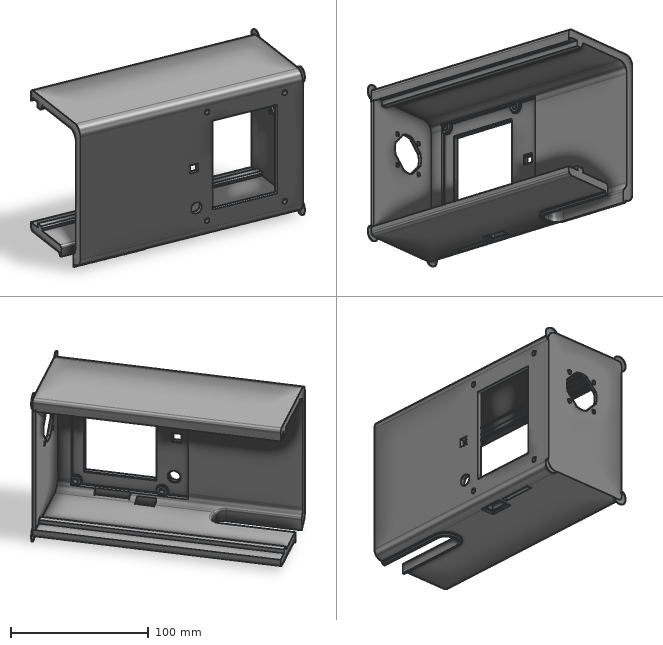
import cadquery as cq


width = 73.0
length = 186.6
height = 114.8
wall = 6.5
outer_radius = 7.5
inner_radius = 8.0
rim_radius = 3.0

lip_width = 2.5
lip_drop = 3.2

ridge_right = 16.5
roof_ridge_left = 9.5
roof_ridge_height = 4.3
roof_ridge_slope_width = 2.2
roof_ridge_slope_height = 3.2
floor_ridge_left = 10.0
floor_ridge_height = 3.2
floor_ridge_slope = 1.3

plate_thickness = 2.5
plate_inset = 0.4
fan_x = 40.0
fan_z = 75.5
fan_radius = 15.0
fan_flat_distance = 13.5
fan_screw_spacing = 24.0
fan_screw_diameter = 3.2

ear_radius = 6.0
ear_thickness = 0.4
ear_left_x = 2.2
ear_left_inset = 2.2
ear_right_inset = 3.4

mid_z = height / 2
inner_face_x = width - wall
recess_depth = 2.6
recess_front_y = 86.0
recess_back_y = 174.1
recess_height = 94.0
recess_chamfer = 0.5
recess_floor_x = inner_face_x + recess_depth

post_front_y = 106.2
post_back_y = 171.1
post_spacing_z = 88.3
post_height = 1.9
post_radius = 4.1
post_base_chamfer = 0.5
post_hole_diameter = 4.0

opening_chamfer = 0.5
window_front_y = 110.9
window_back_y = 164.8
window_bottom_z = 21.0
window_top_z = 93.3
window_corner_radius = 0.7
button_y = 95.4
button_z = 58.2
button_size = 6.5
knob_y = 97.2
knob_z = 25.8
knob_radius = 4.5

narrow_port_x = (61.5, 65.7)
narrow_port_y = (129.1, 155.6)
wide_port_x = (56.4, 64.0)
wide_port_y = (109.2, 124.0)
wide_port_corner_radius = 1.0
wide_port_relief_margin = 1.9
wide_port_relief_depth = 1.9

slot_left = 44.8
slot_right = 62.5
slot_end_y = 64.4
slot_corner_radius = 7.7
slot_rim_radius = 2.2
border = 2.8
border_drop = 2.5
border_chamfer = 1.3


def box(x_range, y_range, z_range):
    """Box between pairs of limits on the three axes."""
    return cq.Workplane("XY").box(
        x_range[1] - x_range[0],
        y_range[1] - y_range[0],
        z_range[1] - z_range[0],
        centered=False,
    ).translate((x_range[0], y_range[0], z_range[0]))


def extrude_along_y(profile, y_start, y_end):
    """Extrude a profile drawn in X and Z from y_start to y_end."""
    return profile.extrude(-(y_end - y_start)).translate((0, y_start, 0))


def make_shell():
    """C-shaped shell with rounded outer corners, inner corners and free edges."""
    outer = box((0, width), (0, length), (0, height))
    outer = outer.edges("|Y and >X").fillet(outer_radius)
    outer = outer.edges("|Y and <X").fillet(rim_radius)
    cavity = box((0, inner_face_x), (0, length), (wall, height - wall))
    cavity = cavity.edges("|Y and >X").fillet(inner_radius)
    return outer.cut(cavity)


def make_ridges():
    """Lip and guide ridge under the roof, and guide ridge on the floor."""
    roof = height - wall
    lip = cq.Workplane("XZ").polyline([(0, roof), (lip_width, roof), (0, roof - lip_drop)]).close()
    roof_ridge_bottom = roof - roof_ridge_height
    roof_ridge = cq.Workplane("XZ").polyline([
        (roof_ridge_left, roof),
        (roof_ridge_left, roof_ridge_bottom),
        (ridge_right - roof_ridge_slope_width, roof_ridge_bottom),
        (ridge_right, roof_ridge_bottom + roof_ridge_slope_height),
        (ridge_right, roof),
    ]).close()
    floor_ridge_top = wall + floor_ridge_height
    floor_ridge = cq.Workplane("XZ").polyline([
        (floor_ridge_left, wall),
        (floor_ridge_left, floor_ridge_top),
        (ridge_right - floor_ridge_slope, floor_ridge_top),
        (ridge_right, floor_ridge_top - floor_ridge_slope),
        (ridge_right, wall),
    ]).close()
    ridges = extrude_along_y(lip, 0, length)
    ridges = ridges.union(extrude_along_y(roof_ridge, 0, length))
    return ridges.union(extrude_along_y(floor_ridge, 0, length))


def make_back_plate():
    """Plate closing the back end, with the fan opening and its screw holes."""
    plate_front_y = length - plate_thickness
    plate = box(
        (plate_inset, width - wall / 2),
        (plate_front_y, length),
        (wall / 2, height - wall / 2),
    )
    flat_square = cq.Workplane("XZ").transformed(rotate=(0, 0, 45)).rect(
        2 * fan_flat_distance, 2 * fan_flat_distance
    )
    opening = extrude_along_y(cq.Workplane("XZ").circle(fan_radius), plate_front_y, length)
    opening = opening.intersect(extrude_along_y(flat_square, plate_front_y, length))
    screws = cq.Workplane("XZ").rect(
        fan_screw_spacing, fan_screw_spacing, forConstruction=True
    ).vertices().circle(fan_screw_diameter / 2)
    opening = opening.union(extrude_along_y(screws, plate_front_y, length))
    return plate.cut(opening.translate((fan_x, 0, fan_z)))


def make_ears():
    """Thin discs at the back corners, flush with the back face."""
    left = [(ear_left_x, z) for z in (ear_left_inset, height - ear_left_inset)]
    right = [(width - ear_right_inset, z) for z in (ear_right_inset, height - ear_right_inset)]
    ears = cq.Workplane("XZ").pushPoints(left + right).circle(ear_radius)
    return extrude_along_y(ears, length - ear_thickness, length)


def post_centres():
    """Y and Z of the four screw posts."""
    return [
        (y, mid_z + side * post_spacing_z / 2)
        for y in (post_front_y, post_back_y)
        for side in (-1, 1)
    ]


def make_recess():
    """Volume removed for the recess, leaving the screw posts standing."""
    recess = box(
        (inner_face_x - inner_radius, recess_floor_x),
        (recess_front_y, recess_back_y),
        (mid_z - recess_height / 2, mid_z + recess_height / 2),
    )
    recess = recess.faces(">X").edges().chamfer(recess_chamfer)
    base_radius = post_radius + post_base_chamfer
    post = cq.Workplane("XY").polyline([
        (0, 0),
        (base_radius, 0),
        (post_radius, post_base_chamfer),
        (post_radius, post_height),
        (0, post_height),
    ]).close().revolve(360, (0, 0), (0, 1))
    post = post.rotate((0, 0, 0), (0, 0, 1), 90)
    for y, z in post_centres():
        recess = recess.cut(post.translate((recess_floor_x, y, z)))
    return recess


def chamfered_opening(y, z, make_sketch):
    """Cutter outwards through the recess floor, with a chamfered mouth on the inside."""
    plane = cq.Workplane("YZ", origin=(recess_floor_x, y, z))
    through = plane.placeSketch(make_sketch(0)).extrude(width - recess_floor_x)
    mouth = plane.placeSketch(make_sketch(opening_chamfer)).extrude(opening_chamfer, taper=45)
    return through.union(mouth)


def make_wall_openings():
    """Display window, square button hole, round knob hole and post screw holes."""
    window_y = (window_front_y + window_back_y) / 2
    window_z = (window_bottom_z + window_top_z) / 2

    def window_sketch(growth):
        size_y = window_back_y - window_front_y + 2 * growth
        size_z = window_top_z - window_bottom_z + 2 * growth
        return cq.Sketch().rect(size_y, size_z).vertices().fillet(window_corner_radius + growth)

    def button_sketch(growth):
        size = button_size + 2 * growth
        return cq.Sketch().rect(size, size)

    def knob_sketch(growth):
        return cq.Sketch().circle(knob_radius + growth)

    screw_holes = (
        cq.Workplane("YZ", origin=(recess_floor_x - post_height, 0, 0))
        .pushPoints(post_centres())
        .circle(post_hole_diameter / 2)
        .extrude(width - recess_floor_x + post_height)
    )
    return (
        chamfered_opening(window_y, window_z, window_sketch)
        .union(chamfered_opening(button_y, button_z, button_sketch))
        .union(chamfered_opening(knob_y, knob_z, knob_sketch))
        .union(screw_holes)
    )


def slot_prism(offset, bottom_z, top_z):
    """Prism with the slot's U-shaped outline, grown by an offset and reaching past the front."""
    prism = box(
        (slot_left - offset, slot_right + offset),
        (-border, slot_end_y + offset),
        (bottom_z, top_z),
    )
    return prism.edges("|Z and >Y").fillet(slot_corner_radius + offset)


def make_border():
    """Raised border under the floor around the slot, chamfered along its lower edge."""
    raised = slot_prism(border, -border_drop, wall / 2)
    raised = raised.faces("<Z").edges("not <Y").chamfer(border_chamfer)
    return raised.intersect(box((0, width), (0, length), (-border_drop, wall / 2)))


def round_slot_rim(body):
    """Round the edges where the slot meets the inner side of the floor."""
    margin = 0.2
    rim = cq.selectors.BoxSelector(
        (slot_left - margin, margin, wall - margin),
        (slot_right + margin, slot_end_y + margin, wall + inner_radius / 2),
    )
    return body.edges(rim).fillet(slot_rim_radius)


def make_ports():
    """Connector openings, with a shallow relief around the wide one on the underside."""
    ports_top = wall + inner_radius
    narrow = box(narrow_port_x, narrow_port_y, (0, ports_top))
    wide = box(wide_port_x, wide_port_y, (0, ports_top))
    wide = wide.edges("|Z and >X").fillet(wide_port_corner_radius)
    relief = box(
        (wide_port_x[0] - wide_port_relief_margin, wide_port_x[1] + wide_port_relief_margin),
        (wide_port_y[0] - wide_port_relief_margin, wide_port_y[1] + wide_port_relief_margin),
        (0, wide_port_relief_depth),
    )
    return narrow.union(wide).union(relief)


slot_cutter = slot_prism(0, -border_drop, wall + inner_radius)
body = make_shell().union(make_border()).cut(slot_cutter)
body = round_slot_rim(body)

result = (
    body
    .union(make_ridges())
    .union(make_back_plate())
    .union(make_ears())
    .cut(make_recess())
    .cut(make_wall_openings())
    .cut(make_ports())
)